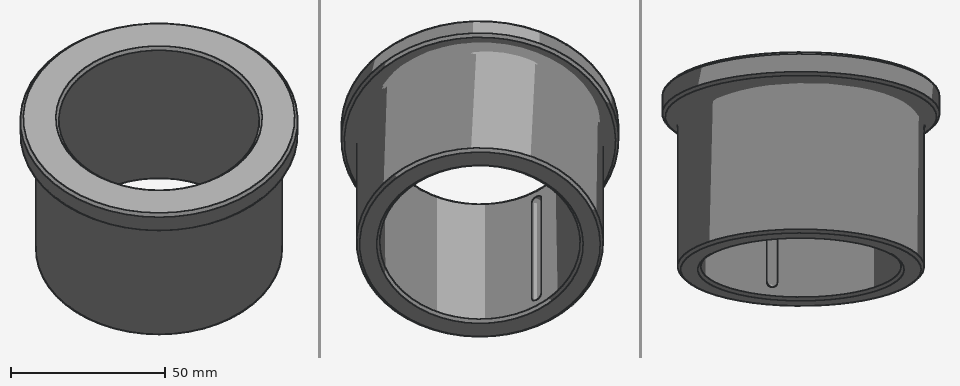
import cadquery as cq

height = 60.0
flange_diameter = 90
flange_thickness = 8.0
body_diameter = 80.0
bore_diameter = 65.0
chamfer = 1.0
neck_fillet = 3.5
groove_radius = 1.8
groove_end_margin = 4.0

flange_radius = flange_diameter / 2
body_radius = body_diameter / 2
bore_radius = bore_diameter / 2
flange_underside = height - flange_thickness


def flanged_bushing():
    """Revolve the bushing section about Z, with all four rims chamfered."""
    section = (
        cq.Workplane("XZ")
        .moveTo(bore_radius + chamfer, 0)
        .lineTo(body_radius - chamfer, 0)
        .lineTo(body_radius, chamfer)
        .lineTo(body_radius, flange_underside - neck_fillet)
        .radiusArc((body_radius + neck_fillet, flange_underside), neck_fillet)
        .lineTo(flange_radius - chamfer, flange_underside)
        .lineTo(flange_radius, flange_underside + chamfer)
        .lineTo(flange_radius, height - chamfer)
        .lineTo(flange_radius - chamfer, height)
        .lineTo(bore_radius + chamfer, height)
        .lineTo(bore_radius, height - chamfer)
        .lineTo(bore_radius, chamfer)
        .close()
    )
    return section.revolve(360, (0, 0, 0), (0, 1, 0))


def lubrication_groove():
    """Round-bottomed groove along the +X side of the bore, with a ball-shaped end at top and bottom."""
    lower_ball_height = groove_end_margin + groove_radius
    upper_ball_height = height - lower_ball_height
    groove = (
        cq.Workplane("XY")
        .workplane(offset=lower_ball_height)
        .center(bore_radius, 0)
        .circle(groove_radius)
        .extrude(upper_ball_height - lower_ball_height)
    )
    for ball_height in (lower_ball_height, upper_ball_height):
        ball = cq.Workplane("XY").sphere(groove_radius)
        groove = groove.union(ball.translate((bore_radius, 0, ball_height)))
    return groove


result = flanged_bushing().cut(lubrication_groove())